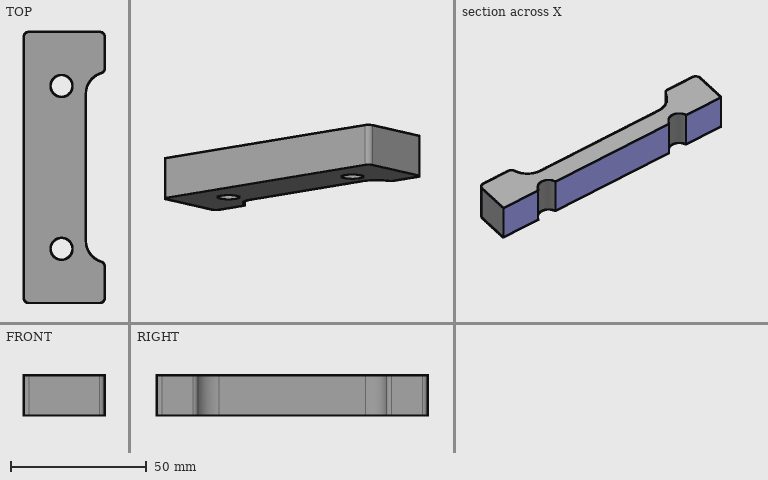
import cadquery as cq
import math

width = 30.0
length = 100.0
height = 15.0
corner_radius = 2.0

hole_diameter = 8.0
hole_spacing = 60.0
hole_from_back = 14.0

recess_depth = 7.0
mouth_length = 70.0
recess_radius = 8.0

half_width = width / 2
half_mouth = mouth_length / 2
recess_floor_x = half_width - recess_depth

arc_center_overhang = recess_radius - recess_depth
arc_center_y = half_mouth - math.sqrt(recess_radius**2 - arc_center_overhang**2)
cutter_length = 2 * (arc_center_y + recess_radius)


def make_block():
    """Plain block with its four upright corners rounded."""
    block = cq.Workplane("XY").box(width, length, height, centered=(True, True, False))
    return block.edges("|Z").fillet(corner_radius)


def cut_recess(body):
    """Cut the recess with a round-cornered bar that extends past the +X face."""
    cutter_width = recess_depth + 2 * recess_radius
    cutter = (
        cq.Workplane("XY")
        .box(cutter_width, cutter_length, height, centered=(False, True, False))
        .edges("|Z and <X")
        .fillet(recess_radius)
        .translate((recess_floor_x, 0, 0))
    )
    return body.cut(cutter)


def round_recess_lips(body):
    """Round the two upright edges where the recess arcs meet the +X face."""
    for side in (-1, 1):
        lip = cq.selectors.NearestToPointSelector((half_width, side * half_mouth, height / 2))
        body = body.edges("|Z").edges(lip).fillet(corner_radius)
    return body


def drill_holes(body):
    """Drill the pair of through holes, placed symmetrically along Y."""
    hole_x = hole_from_back - half_width
    centers = [(hole_x, side * hole_spacing / 2) for side in (-1, 1)]
    top = body.faces(">Z").workplane(origin=(0, 0, height))
    return top.pushPoints(centers).hole(hole_diameter)


block = make_block()
recessed_block = cut_recess(block)
rounded_block = round_recess_lips(recessed_block)
result = drill_holes(rounded_block)